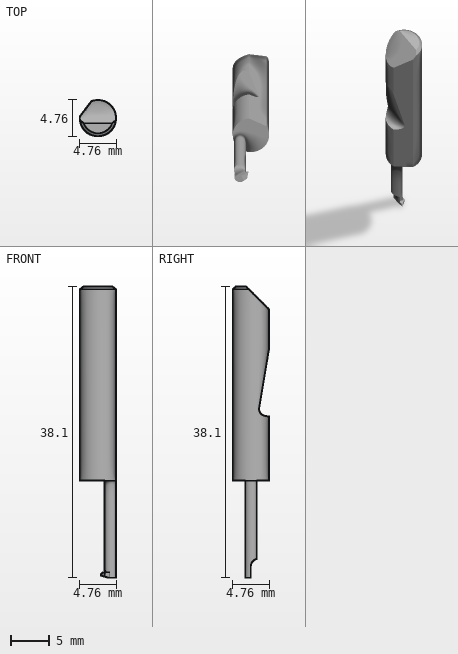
import cadquery as cq
import math

shank_diameter = 4.7625
shank_radius = shank_diameter / 2
shank_length = 25.4
end_chamfer = 0.4

end_slant_angle = 45.0
end_slant_depth = 3.03

notch_start_depth = 8.15
notch_start_z = shank_length - notch_start_depth
notch_heel_z = 8.4
notch_angle = 9.5
notch_corner_radius = 0.9

flat_distance = 2.02
flat_direction = 142.6

neck_length = 12.7
neck_diameter = 1.54
neck_radius = neck_diameter / 2
neck_x = shank_radius - neck_radius
neck_left_x = neck_x - neck_radius
tip_z = -neck_length

tip_flat_length = 1.5
runout_radius = 1.0
runout_top_z = tip_z + tip_flat_length + runout_radius

tooth_tip_x = 0.36
tooth_tip_low = 0.3
tooth_tip_high = 0.45
tooth_shoulder_x = 0.64
tooth_top = 0.73
tooth_inner_x = 1.58
front_relief_end_x = 1.4
root_relief_width = 0.16
root_x = neck_left_x + root_relief_width
root_relief_top = 1.05

relief_break_x = 0.92
relief_break_depth = 0.71

clear = 1.0


def extrude_along_x(outline):
    """Turn a closed YZ sketch into a body spanning the whole shank width."""
    return outline.extrude(shank_radius + clear, both=True)


def make_end_slant_cut():
    outer_y = shank_radius + clear
    outer_z = shank_length - end_slant_depth
    slope = math.tan(math.radians(end_slant_angle))
    outline = (
        cq.Workplane("YZ")
        .moveTo(outer_y, outer_z - clear * slope)
        .lineTo(outer_y, shank_length + clear)
        .lineTo(shank_radius - (end_slant_depth + clear) / slope, shank_length + clear)
        .close()
    )
    return extrude_along_x(outline)


def make_notch_cut():
    """Sloping floor and a heel square to it, joined by a rounded corner."""
    slope = math.tan(math.radians(notch_angle))
    drop = (notch_start_z - notch_heel_z) / (1 + slope**2)
    corner_y = shank_radius - drop * slope
    corner_z = notch_start_z - drop
    outer_y = shank_radius + clear
    outline = (
        cq.Workplane("YZ")
        .moveTo(corner_y, corner_z)
        .lineTo(outer_y, notch_heel_z - clear * slope)
        .lineTo(outer_y, notch_start_z + clear / slope)
        .close()
    )
    corner = cq.selectors.NearestToPointSelector((0, corner_y, corner_z))
    return extrude_along_x(outline).edges(corner).fillet(notch_corner_radius)


def make_flat_cut():
    block_size = 2 * shank_diameter
    return (
        cq.Workplane("XY")
        .box(block_size, block_size, shank_length + 2 * clear, centered=(False, True, False))
        .translate((flat_distance, 0, -clear))
        .rotate((0, 0, 0), (0, 0, 1), flat_direction)
    )


def make_shank():
    cylinder = cq.Workplane("XY").circle(shank_radius).extrude(shank_length)
    cylinder = cylinder.faces(">Z").chamfer(end_chamfer)
    return cylinder.cut(make_end_slant_cut()).cut(make_notch_cut()).cut(make_flat_cut())


def make_tip_flat_cut():
    """Remove the +Y half of the neck tip, ending in a round cutter runout."""
    outline = (
        cq.Workplane("YZ")
        .moveTo(0, tip_z - clear)
        .lineTo(0, runout_top_z - runout_radius)
        .radiusArc((runout_radius, runout_top_z), runout_radius)
        .lineTo(runout_radius + clear, runout_top_z)
        .lineTo(runout_radius + clear, tip_z - clear)
        .close()
    )
    return extrude_along_x(outline)


def make_root_cut():
    """Small slanted clearance on the neck edge just above the tooth."""
    return (
        cq.Workplane("XZ")
        .moveTo(neck_left_x, tip_z + root_relief_top)
        .lineTo(root_x, tip_z + tooth_top)
        .lineTo(neck_left_x, tip_z + tooth_top)
        .close()
        .extrude(neck_radius, both=True)
    )


def make_front_relief_cut():
    """Trim the corner of the neck end along the line of the tooth underside."""
    return (
        cq.Workplane("XZ")
        .moveTo(front_relief_end_x, tip_z)
        .lineTo(tooth_tip_x, tip_z + tooth_tip_low)
        .lineTo(tooth_tip_x, tip_z)
        .close()
        .extrude(neck_diameter, both=True)
    )


def make_neck():
    bar = cq.Workplane("XY").center(neck_x, 0).circle(neck_radius).extrude(-neck_length)
    return bar.cut(make_tip_flat_cut()).cut(make_root_cut()).cut(make_front_relief_cut())


def make_tooth():
    """Tooth profile with its cutting face at y = 0, bounded by two relief planes behind."""
    profile = (
        cq.Workplane("XZ")
        .moveTo(tooth_tip_x, tip_z + tooth_tip_low)
        .lineTo(tooth_tip_x, tip_z + tooth_tip_high)
        .lineTo(tooth_shoulder_x, tip_z + tooth_top)
        .lineTo(tooth_inner_x, tip_z + tooth_top)
        .lineTo(tooth_inner_x, tip_z)
        .lineTo(front_relief_end_x, tip_z)
        .close()
        .extrude(neck_diameter)
    )
    inner_depth = math.sqrt(neck_radius**2 - (tooth_inner_x - neck_x) ** 2)
    plan = (
        cq.Workplane("XY", origin=(0, 0, tip_z))
        .moveTo(tooth_tip_x, 0)
        .lineTo(relief_break_x, -relief_break_depth)
        .lineTo(tooth_inner_x, -inner_depth)
        .lineTo(tooth_inner_x, 0)
        .close()
        .extrude(tooth_top)
    )
    return profile.intersect(plan)


result = make_shank().union(make_neck()).union(make_tooth())